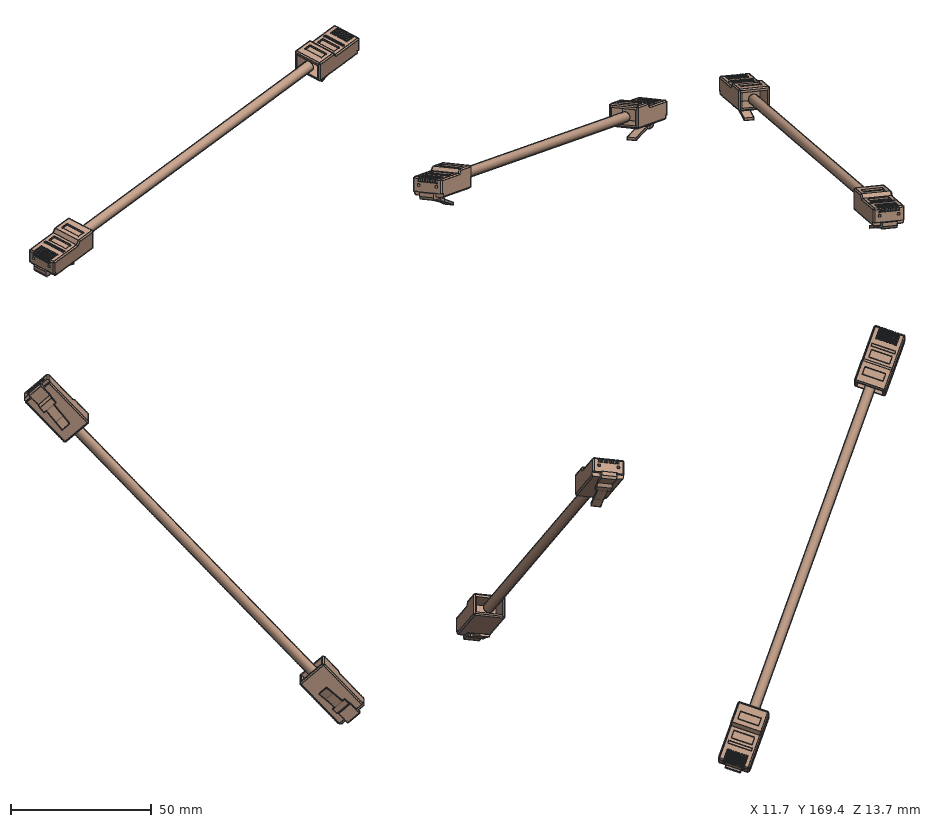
import cadquery as cq


cord_length = 169.42
cord_height = 13.74
plug_width = 11.68

cable_diameter = 3.81
cable_insertion = 1.2

nose_overhang = 0.76
body_length = 21.97
body_height = 8.2
plug_top = 4.5
step_rise = 1.4
step_start = 13.7
step_run = 1.1
lip_height = 1.5
lip_setback = 1.2
edge_chamfer = 0.5
plug_tip = -cord_length / 2
body_start = nose_overhang
body_end = body_start + body_length
body_bottom = plug_top - body_height
lip_end = body_start + lip_setback
lip_top = body_bottom + lip_height
front_top = plug_top - step_rise

contact_count = 8
contact_pitch = 1.02
slot_width = 0.5
slot_end = 5.3
slot_depth = 1.6

pocket_width = 7.8
pocket_depth = 0.7
front_pocket = (9.6, 12.5)
rear_pocket = (16.6, 19.5)
groove_width = 8.9
groove_depth = 0.5
groove_span = (7.4, 8.4)

cavity_width = 9.6
cavity_height = 5.8
cavity_length = 8.0
cavity_floor = 1.1
cavity_bottom = body_bottom + cavity_floor
hole_diameter = 1.02
hole_spacing = (contact_count - 1) * contact_pitch
hole_height = 0.25
hole_depth = 3.0

latch_width = 5.6
lever_width = 3.6
nose_drop = 1.0
nose_bevel = 0.5
root_top_end = 4.8
root_bottom_end = 5.2
shoulder_start = 6.0
shoulder_end = 8.3
shoulder_slope = 0.2
lever_end = 16.7
lever_end_thickness = 1.0
lever_top_slope = 0.35
lever_tip = plug_top - cord_height
lever_kink = 13.3
kink_height = 1.35
shoulder_height = 2.85


def box(width, span, bottom, top):
    """Block centred on X between two distances behind the plug tip."""
    start, end = span
    block = cq.Workplane("XY").box(width, end - start, top - bottom, centered=(True, False, False))
    return block.translate((0, plug_tip + start, bottom))


def side_prism(points, width):
    """Side outline of (distance behind the plug tip, Z) points, extruded symmetrically along X."""
    outline = [(plug_tip + distance, z) for distance, z in points]
    return cq.Workplane("YZ", origin=(-width / 2, 0, 0)).polyline(outline).close().extrude(width)


def make_body():
    body = side_prism(
        [
            (body_start, body_bottom),
            (body_end, body_bottom),
            (body_end, plug_top),
            (step_start + step_run, plug_top),
            (step_start, front_top),
            (body_start, front_top),
        ],
        plug_width,
    )
    side_edges = body.faces("<X or >X").edges()
    end_edges = body.faces("<Y or >Y").edges("|X")
    body = side_edges.add(end_edges).chamfer(edge_chamfer)
    lip = box(plug_width, (body_start, lip_end), body_bottom, lip_top)
    return body.cut(lip)


def cut_contact_slots(body):
    for index in range(contact_count):
        x = (index - (contact_count - 1) / 2) * contact_pitch
        slot = box(slot_width, (body_start, slot_end), front_top - slot_depth, front_top)
        body = body.cut(slot.translate((x, 0, 0)))
    return body


def cut_top_recesses(body):
    body = body.cut(box(pocket_width, front_pocket, front_top - pocket_depth, front_top))
    body = body.cut(box(pocket_width, rear_pocket, plug_top - pocket_depth, plug_top))
    return body.cut(box(groove_width, groove_span, front_top - groove_depth, front_top))


def cut_rear_cavity(body):
    cavity_span = (body_end - cavity_length, body_end)
    cavity = box(cavity_width, cavity_span, cavity_bottom, cavity_bottom + cavity_height)
    return body.cut(cavity)


def cut_front_holes(body):
    holes = (
        cq.Workplane("XZ", origin=(0, plug_tip + body_start, hole_height))
        .rarray(hole_spacing, 1, 2, 1)
        .circle(hole_diameter / 2)
        .extrude(-hole_depth)
    )
    return body.cut(holes)


def make_latch():
    def lever_top(distance):
        return lever_tip + lever_end_thickness + (lever_end - distance) * lever_top_slope

    root_bottom = body_bottom - nose_drop
    shoulder_bottom = lever_tip + shoulder_height
    root = side_prism(
        [
            (0, lip_top),
            (lip_end, lip_top),
            (lip_end, body_bottom),
            (root_top_end, body_bottom),
            (shoulder_start, lever_top(shoulder_start)),
            (shoulder_end, lever_top(shoulder_end)),
            (shoulder_end, shoulder_bottom),
            (shoulder_start, shoulder_bottom + (shoulder_end - shoulder_start) * shoulder_slope),
            (root_bottom_end, root_bottom),
            (nose_bevel, root_bottom),
            (0, body_bottom),
        ],
        latch_width,
    )
    lever = side_prism(
        [
            (shoulder_end, lever_top(shoulder_end)),
            (lever_end, lever_top(lever_end)),
            (lever_end, lever_tip),
            (lever_kink, lever_tip + kink_height),
            (shoulder_end, shoulder_bottom),
        ],
        lever_width,
    )
    return root.union(lever)


def make_plug():
    body = make_body()
    body = cut_contact_slots(body)
    body = cut_top_recesses(body)
    body = cut_rear_cavity(body)
    body = cut_front_holes(body)
    return body.union(make_latch())


def make_cable():
    half_length = -(plug_tip + body_end - cable_insertion)
    start = cq.Workplane("XZ", origin=(0, half_length, 0))
    return start.circle(cable_diameter / 2).extrude(2 * half_length)


plug = make_plug()
plugs = [plug.rotate((0, 0, 0), (0, 0, 1), turn) for turn in (0, 180)]
cable = make_cable()

result = cq.Compound.makeCompound([cable.val(), *[each.val() for each in plugs]])